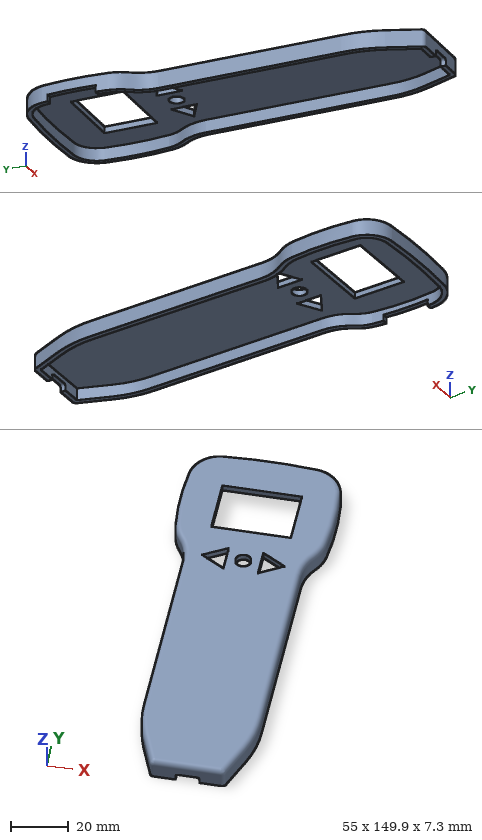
import cadquery as cq
import math

length = 149.9
head_width = 54.97
height = 7.3

face_thickness = 2.5
wall_thickness = 2.0
rim_fillet = 2.0

tail_corner = (13.0, 0)
tail_top = (18.05, 12.9)
grip_bottom = (20.8, 28.3)
grip_top = (grip_bottom[0], 98.0)
neck_top = (23.9, 107.6)
shoulder_top = (26.66, 114.5)
head_side = (head_width / 2, 127.4)
head_corner = (25.3, 148.3)
head_end = (0, length)
crown_drop = head_end[1] - head_corner[1]
crown_radius = (head_corner[0] ** 2 + crown_drop ** 2) / (2 * crown_drop)
tail_corner_radius = 1.5
head_corner_radius = 11.1

window_width = 28.0
window_height = 20.0
window_y = 124.4

button_y = 100.55
button_diameter = 5.5
arrow_base_x = 6.1
arrow_side = 9.7
arrow_length = arrow_side * math.sqrt(3) / 2

tail_notch_width = 8.4
tail_notch_height = 2.5
tail_notch_radius = 1.0
side_notch_length = 18.2
side_notch_height = 2.5
side_notch_y = 128.1
side_notch_depth = 3 * wall_thickness


def sharp_outline():
    """Symmetric paddle outline before its corners are rounded."""
    return (
        cq.Workplane("XY")
        .lineTo(*tail_corner)
        .lineTo(*tail_top)
        .tangentArcPoint(grip_bottom, relative=False)
        .lineTo(*grip_top)
        .tangentArcPoint(neck_top, relative=False)
        .tangentArcPoint(shoulder_top, relative=False)
        .threePointArc(head_side, head_corner)
        .radiusArc(head_end, -crown_radius)
        .mirrorY()
    )


def round_upright_edge(block, corner, radius):
    """Round the upright edge of the block that lies closest to the (x, y) corner."""
    nearest = cq.selectors.NearestToPointSelector((*corner, height / 2))
    return block.edges("|Z").edges(nearest).fillet(radius)


def body():
    """Solid paddle with rounded tail and head corners and a rounded upper rim."""
    block = sharp_outline().extrude(height)
    for x, y, radius in (
        (*tail_corner, tail_corner_radius),
        (*head_corner, head_corner_radius),
    ):
        for corner in ((x, y), (-x, y)):
            block = round_upright_edge(block, corner, radius)
    return block.faces(">Z").edges().fillet(rim_fillet)


def cavity():
    """Space below the face, inset from the outline by the wall thickness."""
    space = sharp_outline().offset2D(-wall_thickness).extrude(height - face_thickness)
    for x in (head_corner[0], -head_corner[0]):
        corner = (x, head_corner[1])
        space = round_upright_edge(space, corner, head_corner_radius - wall_thickness)
    return space


def window():
    """Rectangular display opening through the face."""
    return cq.Workplane("XY").center(0, window_y).rect(window_width, window_height).extrude(height)


def round_button():
    """Round opening on the centre line, between the two arrows."""
    return cq.Workplane("XY").center(0, button_y).circle(button_diameter / 2).extrude(height)


def arrow_button(side):
    """Equilateral triangular opening pointing outwards; side is +1 for +X and -1 for -X."""
    base_x = side * arrow_base_x
    tip_x = side * (arrow_base_x + arrow_length)
    corners = [
        (base_x, button_y - arrow_side / 2),
        (base_x, button_y + arrow_side / 2),
        (tip_x, button_y),
    ]
    return cq.Workplane("XY").polyline(corners).close().extrude(height)


def tail_notch():
    """Opening with rounded upper corners in the rim of the grip end."""
    notch = cq.Workplane("XY").box(
        tail_notch_width, 2 * wall_thickness, tail_notch_height, centered=(True, True, False)
    )
    return notch.edges("|Y and >Z").fillet(tail_notch_radius)


def side_notch():
    """Rectangular opening in the -X rim of the head, beside the window."""
    return (
        cq.Workplane("XY")
        .center(-head_side[0], side_notch_y)
        .box(side_notch_depth, side_notch_length, side_notch_height, centered=(True, True, False))
    )


result = body()
for opening in (
    cavity(),
    window(),
    round_button(),
    arrow_button(1),
    arrow_button(-1),
    tail_notch(),
    side_notch(),
):
    result = result.cut(opening)